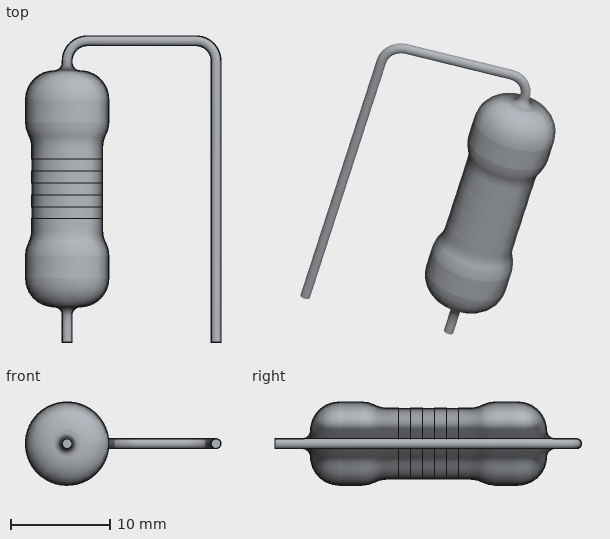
import cadquery as cq

overall_length = 30.9
overall_width = 19.7
body_length = 23.8
cap_diameter = 8.4
wire_diameter = 1.0
core_diameter = 7.15
band_diameter = 7.17

cap_rounding = 2.9
cap_straight = 2.25
section_width = 1.2
section_count = 7
collar_radius = 0.83

top_gap = 3.52
bend_radius = 2.05

cap_radius = cap_diameter / 2
wire_radius = wire_diameter / 2
core_radius = core_diameter / 2
band_radius = band_diameter / 2
half_body = body_length / 2
half_core = section_count * section_width / 2
cap_edge_y = half_body - cap_rounding
neck_start_y = cap_edge_y - cap_straight
lead_spacing = overall_width - cap_radius - wire_radius
crossbar_y = half_body + top_gap - wire_radius
lead_end_y = half_body + top_gap - overall_length


def make_end_cap():
    """Body end on +Y: S-curved neck, domed cap and wire collar."""
    neck_rise = (cap_radius - band_radius) / 2
    neck_run = (neck_start_y - half_core) / 2
    neck_middle = (band_radius + neck_rise, half_core + neck_run)
    neck_arc_radius = (neck_rise**2 + neck_run**2) / (2 * neck_rise)
    collar_base_radius = wire_radius + collar_radius
    collar_tip_y = half_body + collar_radius
    profile = (
        cq.Workplane("XY")
        .moveTo(0, half_core)
        .lineTo(band_radius, half_core)
        .radiusArc(neck_middle, neck_arc_radius)
        .radiusArc((cap_radius, neck_start_y), -neck_arc_radius)
        .lineTo(cap_radius, cap_edge_y)
        .radiusArc((collar_base_radius, half_body), -cap_rounding)
        .radiusArc((wire_radius, collar_tip_y), collar_radius)
        .lineTo(0, collar_tip_y)
        .close()
    )
    return profile.revolve(360, (0, 0, 0), (0, 1, 0))


def make_section(index):
    """One section of the core; every second one is a slightly raised band."""
    start_y = index * section_width - half_core
    section_radius = band_radius if index % 2 == 0 else core_radius
    return (
        cq.Workplane("XZ", origin=(0, start_y, 0))
        .circle(section_radius)
        .extrude(-section_width)
    )


def make_wire():
    """Wire through the body axis, bent twice to return parallel to the body."""
    path = (
        cq.Workplane("XY")
        .moveTo(0, lead_end_y)
        .lineTo(0, crossbar_y - bend_radius)
        .tangentArcPoint((bend_radius, crossbar_y), relative=False)
        .lineTo(lead_spacing - bend_radius, crossbar_y)
        .tangentArcPoint((lead_spacing, crossbar_y - bend_radius), relative=False)
        .lineTo(lead_spacing, lead_end_y)
    )
    section = cq.Workplane("XZ", origin=(0, lead_end_y, 0)).circle(wire_radius)
    return section.sweep(path)


end_cap = make_end_cap()
result = make_wire().union(end_cap).union(end_cap.mirror("XZ"))
for section_index in range(section_count):
    result = result.union(make_section(section_index))